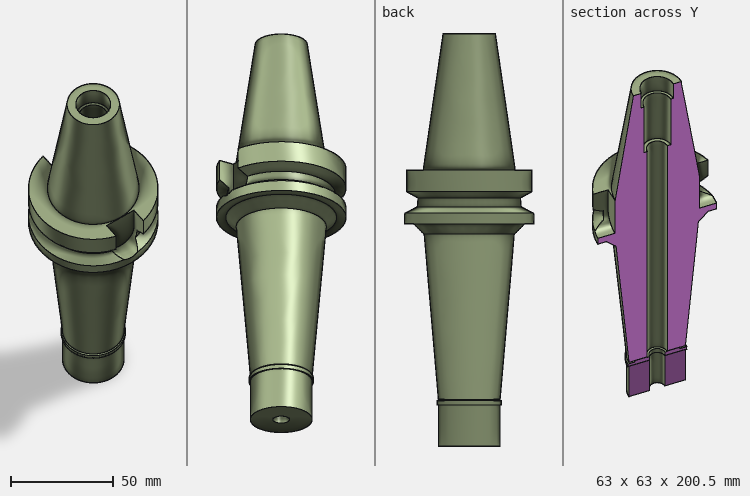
import cadquery as cq
import math

total_height = 200.5
taper_length = 65.3
neck_length = 1.0
flange_top = total_height - taper_length - neck_length
flange_bottom = 108.0
under_flange_height = 5.0
nose_top = flange_bottom - under_flange_height
gap_height = 0.6
collar_height = 2.0
nut_height = 20.2
collar_top = nut_height + collar_height
nose_bottom = collar_top + gap_height

taper_large_radius = 22.2
taper_slope = 7 / 24 / 2
taper_small_radius = taper_large_radius - taper_slope * taper_length
nose_bottom_radius = 15.0
nose_half_angle = 4.9
nose_top_radius = nose_bottom_radius + (nose_top - nose_bottom) * math.tan(math.radians(nose_half_angle))
under_flange_radius = nose_top_radius + under_flange_height

flange_radius = 31.5
groove_radius = 26.3
groove_floor_top = 120.6
groove_floor_bottom = 116.2
groove_side_angle = 30.0
groove_side_height = (flange_radius - groove_radius) * math.tan(math.radians(groove_side_angle))

slot_width = 16.2
slot_floor_distance = 22.5
slot_lowest = 112.2

mouth_radius = 8.5
mouth_depth = 9.6
thread_radius = 7.0
thread_depth = 40.0
holder_bore_radius = 5.2
spindle_bore_radius = 4.0

spindle_neck_radius = 12.0
collar_radius = 15.6
nut_radius = 15.0


def vertical_cylinder(radius, bottom, height):
    return cq.Workplane("XY").workplane(offset=bottom).circle(radius).extrude(height)


def make_holder_blank():
    outline = [
        (0, nose_bottom),
        (nose_bottom_radius, nose_bottom),
        (nose_top_radius, nose_top),
        (under_flange_radius, flange_bottom),
        (flange_radius, flange_bottom),
        (flange_radius, groove_floor_bottom - groove_side_height),
        (groove_radius, groove_floor_bottom),
        (groove_radius, groove_floor_top),
        (flange_radius, groove_floor_top + groove_side_height),
        (flange_radius, flange_top),
        (taper_large_radius, flange_top),
        (taper_large_radius, flange_top + neck_length),
        (taper_small_radius, total_height),
        (0, total_height),
    ]
    return cq.Workplane("XZ").polyline(outline).close().revolve(360, (0, 0), (0, 1))


def make_drive_slot(side):
    """Cutter for one round-ended slot; side is +1 or -1 along X."""
    half_width = slot_width / 2
    round_center = slot_lowest + half_width
    return (
        cq.Workplane("YZ")
        .workplane(offset=side * slot_floor_distance)
        .moveTo(-half_width, flange_top)
        .lineTo(-half_width, round_center)
        .threePointArc((0, slot_lowest), (half_width, round_center))
        .lineTo(half_width, flange_top)
        .close()
        .extrude(side * (flange_radius - slot_floor_distance))
    )


def make_holder():
    holder = make_holder_blank()
    for side in (-1, 1):
        holder = holder.cut(make_drive_slot(side))
    holder = holder.cut(vertical_cylinder(mouth_radius, total_height - mouth_depth, mouth_depth))
    holder = holder.cut(vertical_cylinder(thread_radius, total_height - thread_depth, thread_depth))
    return holder.cut(vertical_cylinder(holder_bore_radius, nose_bottom, total_height - nose_bottom))


def make_spindle():
    """Collar with a narrower neck that meets the end face of the holder."""
    collar = vertical_cylinder(collar_radius, nut_height, collar_height)
    neck = vertical_cylinder(spindle_neck_radius, collar_top, gap_height)
    bore = vertical_cylinder(spindle_bore_radius, nut_height, nose_bottom - nut_height)
    return collar.union(neck).cut(bore)


def make_nut():
    bore = vertical_cylinder(spindle_bore_radius, 0, nut_height)
    return vertical_cylinder(nut_radius, 0, nut_height).cut(bore)


holder = make_holder()
spindle = make_spindle()
nut = make_nut()

result = cq.Compound.makeCompound([holder.val(), spindle.val(), nut.val()])